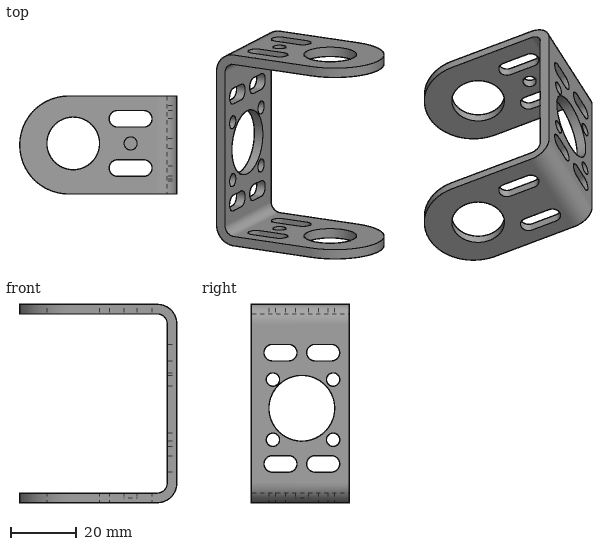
import cadquery as cq

length = 48.0
width = 30.0
height = 60.6
bend_outer_radius = 6.0
thickness = bend_outer_radius / 2
bend_inner_radius = bend_outer_radius - thickness
tip_radius = width / 2

feature_line_y = 0.5
slot_width = 5.0

bore_x = 16.35
bore_diameter = 16.0
flange_slot_x = 33.9
flange_slot_length = 13.05
flange_slot_spacing = 15.05
pin_hole_diameter = 4.0
pin_hole_depth = 1.5

web_bore_z = -1.45
web_bore_diameter = 20.0
web_slot_length = 10.0
web_slot_spacing_y = 13.05
web_slot_spacing_z = 33.95
screw_hole_diameter = 4.0
screw_hole_spacing = 18.35
screw_pattern_y = 0.85
screw_pattern_z = -1.9


def bent_sheet():
    """Constant-thickness U section with rounded bends, open towards -X."""
    outer = (
        cq.Workplane("XY")
        .box(length, width, height, centered=(False, True, True))
        .edges("|Y and >X")
        .fillet(bend_outer_radius)
    )
    inner = (
        cq.Workplane("XY")
        .box(length - thickness, width, height - 2 * thickness, centered=(False, True, True))
        .edges("|Y and >X")
        .fillet(bend_inner_radius)
    )
    return outer.cut(inner)


def rounded_tip_envelope():
    """Full-height plan outline with a semicircular -X end."""
    return (
        cq.Workplane("XY", origin=(0, 0, -height / 2))
        .moveTo(tip_radius, -width / 2)
        .lineTo(length, -width / 2)
        .lineTo(length, width / 2)
        .lineTo(tip_radius, width / 2)
        .threePointArc((0, 0), (tip_radius, -width / 2))
        .close()
        .extrude(height)
    )


def flange_cutouts():
    """Aligned bores and slots passing through both flanges."""
    base = cq.Workplane("XY", origin=(0, feature_line_y, -height / 2))
    bores = base.center(bore_x, 0).circle(bore_diameter / 2).extrude(height)
    slots = (
        base.center(flange_slot_x, 0)
        .rarray(0.6, flange_slot_spacing, 1, 2)
        .slot2D(flange_slot_length, slot_width)
        .extrude(height)
    )
    return bores.union(slots)


def pin_holes():
    """Through hole in the upper flange above a blind hole in the lower one."""
    blind_floor_z = -height / 2 + thickness - pin_hole_depth
    return (
        cq.Workplane("XY", origin=(flange_slot_x, feature_line_y, blind_floor_z))
        .circle(pin_hole_diameter / 2)
        .extrude(height / 2 - blind_floor_z)
    )


def web_cutouts():
    """Central bore, four slots and four screw holes through the web."""
    inner_face_x = length - thickness
    base = cq.Workplane("YZ", origin=(inner_face_x, feature_line_y, web_bore_z))
    screw_base = cq.Workplane("YZ", origin=(inner_face_x, screw_pattern_y, screw_pattern_z))
    bore = base.circle(web_bore_diameter / 2).extrude(thickness)
    slots = (
        base.rarray(web_slot_spacing_y, web_slot_spacing_z, 2, 2)
        .slot2D(web_slot_length, slot_width)
        .extrude(thickness)
    )
    screw_holes = (
        screw_base.rarray(screw_hole_spacing, screw_hole_spacing, 2, 2)
        .circle(screw_hole_diameter / 2)
        .extrude(thickness)
    )
    return bore.union(slots).union(screw_holes)


result = (
    bent_sheet()
    .intersect(rounded_tip_envelope())
    .cut(flange_cutouts())
    .cut(pin_holes())
    .cut(web_cutouts())
)